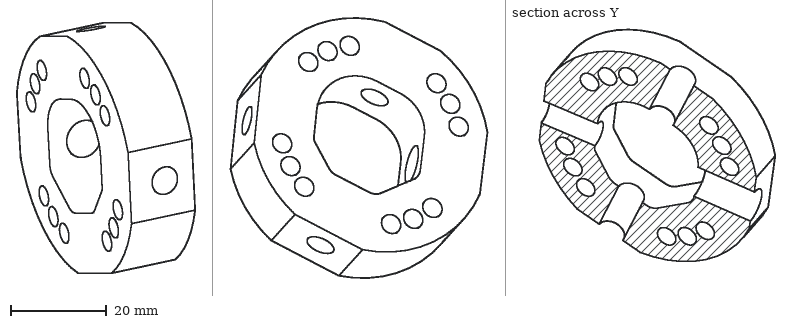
import cadquery as cq
import math

OUTER_RADIUS = 26.2
WIDTH = 15.0

OUTER_FLATS = {
    "right": (5.7, 25.0),
    "top": (111.6, 25.35),
    "left": (186.7, 25.2),
    "bottom": (291.6, 24.95),
}

SMALL_CORNER = 3.0
TIGHT_CORNER = 1.7
OPENING_WALLS = [
    (5.7, 12.15, 9.8),
    (111.5, 12.0, 8.55),
    (186.5, 11.7, SMALL_CORNER),
    (240.3, 12.25, SMALL_CORNER),
    (291.4, 12.15, SMALL_CORNER),
    (330.5, 12.25, TIGHT_CORNER),
]

PIN_DIAMETER = 4.25
PIN_CIRCLE_RADIUS = 20.0
PIN_SPACING = 15.0
PIN_GROUP_ANGLE = 61.8
PIN_GROUP_COUNT = 4
PINS_PER_GROUP = 3

SCREW_DIAMETER = 6.0
LARGE_SCREW_DIAMETER = 8.0
SCREW_Y = 0.75
CROSS_HOLES = {
    "right": (SCREW_DIAMETER, 0.0),
    "top": (SCREW_DIAMETER, -1.2),
    "left": (LARGE_SCREW_DIAMETER, 1.05),
    "bottom": (SCREW_DIAMETER, -0.6),
}


def polar(radius, angle):
    """Point in the XZ plane at a radius and an angle in degrees."""
    return radius * math.cos(math.radians(angle)), radius * math.sin(math.radians(angle))


def along_y():
    """Workplane on the -Y face with local axes X and Z; negative lengths extrude into the ring."""
    return cq.Workplane("XZ", origin=(0, -WIDTH / 2, 0))


def make_body():
    """Disc with four flats cut on its rim."""
    body = along_y().circle(OUTER_RADIUS).extrude(-WIDTH)
    for angle, distance in OUTER_FLATS.values():
        waste = cq.Workplane("XY").box(OUTER_RADIUS, WIDTH, 2 * OUTER_RADIUS)
        waste = waste.translate((distance + OUTER_RADIUS / 2, 0, 0))
        body = body.cut(waste.rotate((0, 0, 0), (0, 1, 0), -angle))
    return body


def wall_crossing(first, second):
    """Point where two opening walls meet before rounding."""
    first_angle, first_distance, _ = first
    second_angle, second_distance, _ = second
    a_x, a_z = polar(1, first_angle)
    b_x, b_z = polar(1, second_angle)
    area = a_x * b_z - a_z * b_x
    x = (first_distance * b_z - second_distance * a_z) / area
    z = (second_distance * a_x - first_distance * b_x) / area
    return x, z


def make_opening():
    """Six-sided central opening with rounded corners."""
    next_walls = OPENING_WALLS[1:] + OPENING_WALLS[:1]
    corners = [wall_crossing(wall, following) for wall, following in zip(OPENING_WALLS, next_walls)]
    opening = along_y().polyline(corners).close().extrude(-WIDTH)
    for (x, z), (_, _, radius) in zip(corners, OPENING_WALLS):
        nearest_edge = cq.selectors.NearestToPointSelector((x, 0, z))
        opening = opening.edges("|Y").edges(nearest_edge).fillet(radius)
    return opening


def make_pin_holes():
    """Four equally spaced groups of three through holes."""
    centres = []
    for group in range(PIN_GROUP_COUNT):
        group_angle = PIN_GROUP_ANGLE + group * 360 / PIN_GROUP_COUNT
        for pin in range(PINS_PER_GROUP):
            pin_offset = (pin - (PINS_PER_GROUP - 1) / 2) * PIN_SPACING
            centres.append(polar(PIN_CIRCLE_RADIUS, group_angle + pin_offset))
    return along_y().pushPoints(centres).circle(PIN_DIAMETER / 2).extrude(-WIDTH)


def make_cross_hole(angle, diameter, shift):
    """Cutter square to a flat, running from the ring's middle out past the rim."""
    hole = cq.Workplane("YZ").center(SCREW_Y, shift).circle(diameter / 2).extrude(OUTER_RADIUS)
    return hole.rotate((0, 0, 0), (0, 1, 0), -angle)


result = make_body().cut(make_opening()).cut(make_pin_holes())
for side, (diameter, shift) in CROSS_HOLES.items():
    flat_angle, _ = OUTER_FLATS[side]
    result = result.cut(make_cross_hole(flat_angle, diameter, shift))